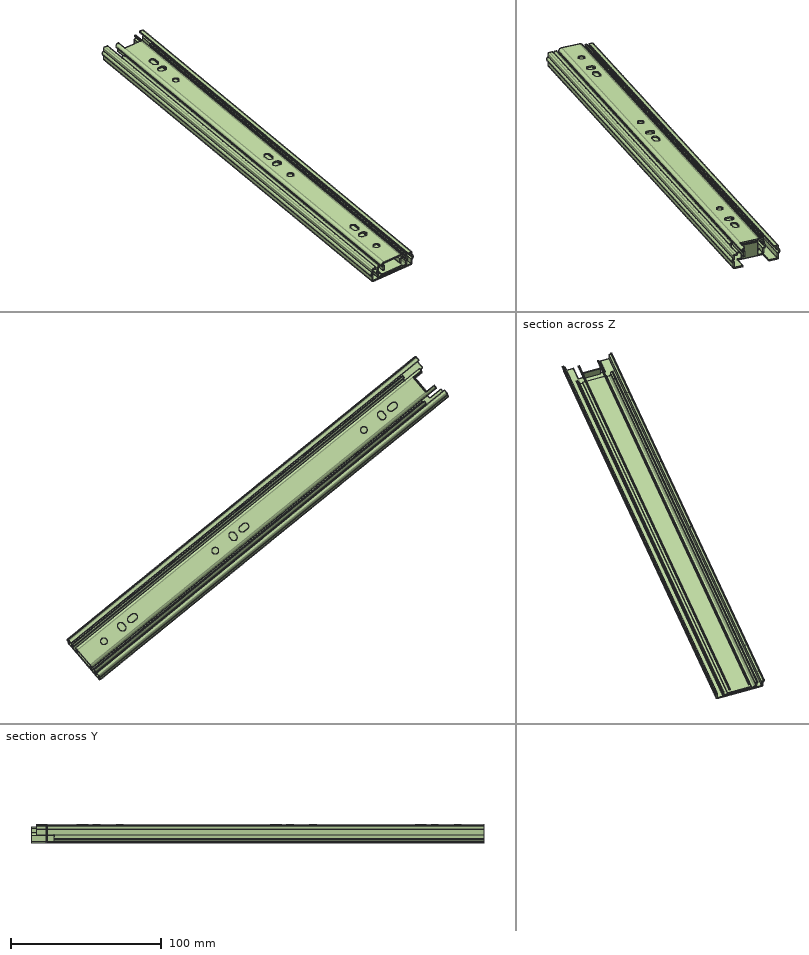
import cadquery as cq
import math


SLIDE_LENGTH = 300.0
SHEET = 1.05
BEND_RADIUS = 1.05
RACE_Z = 6.0

OUTER_WIDTH = 35.0
OUTER_RACE_DEPTH = 1.05
OUTER_RACE_HALF_HEIGHT = 1.8
OUTER_WALL_Y = OUTER_WIDTH / 2 - OUTER_RACE_DEPTH
OUTER_TOP_Z = 10.8
OUTER_LIP_Y = 13.2
NOTCH_DEPTH = 9.5
NOTCH_WIDTH = 19.0

TAB_WIDTH = 11.7
TAB_TOP_Z = 10.5

MIDDLE_START_X = 15.0
MIDDLE_WALL_Y = 24.3 / 2
MIDDLE_RACE_DEPTH = 0.8
MIDDLE_RACE_HALF_HEIGHT = 1.5
MIDDLE_BOTTOM_Z = SHEET
MIDDLE_TOP_Z = 10.8
MIDDLE_LIP_Y = 20.7 / 2
MIDDLE_BOTTOM_RADIUS = 1.8
MIDDLE_STEP = 1.0
MIDDLE_STEP_Y = 8.5

INNER_START_X = 3.3
INNER_WIDTH = 17.5
INNER_TOP_Z = 12.3
CURL_RADIUS = 2.0
CURL_Y = INNER_WIDTH / 2 - CURL_RADIUS
CURL_Z = INNER_TOP_Z - CURL_RADIUS
LEG_Y = 14.7 / 2
LEG_END_Z = 5.5
INNER_TOP_START_X = 10.5

GROUP_STARTS = [34.0, 162.0, 258.0]
HOLE_WIDTH = 4.5
LONG_SLOT_LENGTH = 7.2
CROSS_SLOT_LENGTH = 6.3
CROSS_SLOT_OFFSET = 9.3
ROUND_HOLE_OFFSET = 24.5


def add_corner(outline, corner, radius, turn):
    """Draw to a rounded corner and round it.

    corner is the sharp corner; turn holds the signs of the arc centre's
    place from it in Y and Z, and which of the two straight sides comes first.
    """
    y, z = corner
    side_y, side_z, first = turn
    on_wall = (y, z + side_z * radius)
    on_flat = (y + side_y * radius, z)
    inset = radius * (1 - math.sqrt(0.5))
    middle = (y + side_y * inset, z + side_z * inset)
    start, end = (on_wall, on_flat) if first == "wall" else (on_flat, on_wall)
    return outline.lineTo(*start).threePointArc(middle, end)


def add_race(outline, wall_y, depth, half_height, offset, direction):
    """Draw along a wall to the race and over its outward bulge.

    offset moves wall and bulge inward together, for the inner side of the sheet;
    direction is 1 going up the wall and -1 going down.
    """
    outer_radius = (half_height**2 + depth**2) / (2 * depth)
    centre_y = wall_y + depth - outer_radius
    radius = outer_radius - offset
    face_y = wall_y - offset
    half_chord = math.sqrt(radius**2 - (face_y - centre_y)**2)
    outline = outline.lineTo(face_y, RACE_Z - direction * half_chord)
    return outline.threePointArc(
        (centre_y + radius, RACE_Z),
        (face_y, RACE_Z + direction * half_chord),
    )


def symmetric_rail(half_outline, start_x):
    """Close and extrude the +Y half of a section and add its mirror image."""
    half = half_outline.close().extrude(SLIDE_LENGTH - start_x)
    return half.union(half.mirror("XZ")).clean()


def make_outer_rail():
    race = (OUTER_WALL_Y, OUTER_RACE_DEPTH, OUTER_RACE_HALF_HEIGHT)
    inner_wall_y = OUTER_WALL_Y - SHEET
    lip_under_z = OUTER_TOP_Z - SHEET

    outline = cq.Workplane("YZ").moveTo(0, 0)
    outline = add_corner(outline, (OUTER_WALL_Y, 0), BEND_RADIUS, (-1, 1, "flat"))
    outline = add_race(outline, *race, 0, 1)
    outline = add_corner(outline, (OUTER_WALL_Y, OUTER_TOP_Z), BEND_RADIUS, (-1, -1, "wall"))
    outline = outline.lineTo(OUTER_LIP_Y, OUTER_TOP_Z).lineTo(OUTER_LIP_Y, lip_under_z)
    outline = outline.lineTo(inner_wall_y, lip_under_z)
    outline = add_race(outline, *race, SHEET, -1)
    outline = outline.lineTo(inner_wall_y, SHEET).lineTo(0, SHEET)
    rail = symmetric_rail(outline, 0)

    notch = cq.Workplane("XY").box(
        NOTCH_DEPTH, NOTCH_WIDTH, SHEET, centered=(False, True, False)
    )
    tab = cq.Workplane("XY").box(
        SHEET, TAB_WIDTH, TAB_TOP_Z, centered=(False, True, False)
    ).translate((NOTCH_DEPTH, 0, 0))
    return rail.cut(notch).union(tab)


def make_intermediate_rail():
    race = (MIDDLE_WALL_Y, MIDDLE_RACE_DEPTH, MIDDLE_RACE_HALF_HEIGHT)
    inner_wall_y = MIDDLE_WALL_Y - SHEET
    lip_under_z = MIDDLE_TOP_Z - SHEET
    base_top_z = MIDDLE_BOTTOM_Z + SHEET
    raised_bottom_z = MIDDLE_BOTTOM_Z + MIDDLE_STEP
    raised_top_z = base_top_z + MIDDLE_STEP
    step_under_y = MIDDLE_STEP_Y - SHEET
    bottom_corner = (MIDDLE_WALL_Y, MIDDLE_BOTTOM_Z)
    inner_corner = (inner_wall_y, base_top_z)

    outline = cq.Workplane("YZ", origin=(MIDDLE_START_X, 0, 0)).moveTo(0, raised_bottom_z)
    outline = outline.lineTo(step_under_y, raised_bottom_z).lineTo(step_under_y, MIDDLE_BOTTOM_Z)
    outline = add_corner(outline, bottom_corner, MIDDLE_BOTTOM_RADIUS, (-1, 1, "flat"))
    outline = add_race(outline, *race, 0, 1)
    outline = add_corner(outline, (MIDDLE_WALL_Y, MIDDLE_TOP_Z), BEND_RADIUS, (-1, -1, "wall"))
    outline = outline.lineTo(MIDDLE_LIP_Y, MIDDLE_TOP_Z)
    outline = outline.lineTo(MIDDLE_LIP_Y, lip_under_z).lineTo(inner_wall_y, lip_under_z)
    outline = add_race(outline, *race, SHEET, -1)
    outline = add_corner(outline, inner_corner, MIDDLE_BOTTOM_RADIUS - SHEET, (-1, 1, "wall"))
    outline = outline.lineTo(MIDDLE_STEP_Y, base_top_z)
    outline = outline.lineTo(MIDDLE_STEP_Y, raised_top_z).lineTo(0, raised_top_z)
    return symmetric_rail(outline, MIDDLE_START_X)


def inner_top_at(x):
    """Workplane on the inner rail's flat top, centred at x."""
    return cq.Workplane("XY", origin=(x, 0, INNER_TOP_Z))


def cut_hole_groups(rail):
    """Cut a lengthwise slot, a crosswise slot and a round hole in each group."""
    for start_x in GROUP_STARTS:
        long_slot = inner_top_at(start_x).slot2D(LONG_SLOT_LENGTH, HOLE_WIDTH)
        cross_slot = inner_top_at(start_x + CROSS_SLOT_OFFSET).slot2D(CROSS_SLOT_LENGTH, HOLE_WIDTH, 90)
        round_hole = inner_top_at(start_x + ROUND_HOLE_OFFSET).circle(HOLE_WIDTH / 2)
        for hole in (long_slot, cross_slot, round_hole):
            rail = rail.cut(hole.extrude(-SHEET))
    return rail


def curl_point(radius, y):
    """Point of a curl's underside at the given y, on the circle of the given radius."""
    return (y, CURL_Z - math.sqrt(radius**2 - (y - CURL_Y)**2))


def make_inner_rail():
    inside_radius = CURL_RADIUS - SHEET
    top_under_z = INNER_TOP_Z - SHEET
    leg_inner_y = LEG_Y - SHEET

    outline = cq.Workplane("YZ", origin=(INNER_START_X, 0, 0)).moveTo(0, INNER_TOP_Z)
    outline = outline.lineTo(CURL_Y, INNER_TOP_Z)
    outline = outline.threePointArc((CURL_Y + CURL_RADIUS, CURL_Z), curl_point(CURL_RADIUS, LEG_Y))
    outline = outline.lineTo(LEG_Y, LEG_END_Z).lineTo(leg_inner_y, LEG_END_Z)
    outline = outline.lineTo(*curl_point(inside_radius, leg_inner_y))
    outline = outline.threePointArc((CURL_Y + inside_radius, CURL_Z), (CURL_Y, top_under_z))
    outline = outline.lineTo(0, top_under_z)
    rail = symmetric_rail(outline, INNER_START_X)

    top_notch = cq.Workplane("XY").box(
        INNER_TOP_START_X - INNER_START_X, 2 * CURL_Y, SHEET, centered=(False, True, False)
    ).translate((INNER_START_X, 0, top_under_z))
    return cut_hole_groups(rail.cut(top_notch))


outer_rail = make_outer_rail()
intermediate_rail = make_intermediate_rail()
inner_rail = make_inner_rail()

result = cq.Compound.makeCompound(
    [outer_rail.val(), intermediate_rail.val(), inner_rail.val()]
)